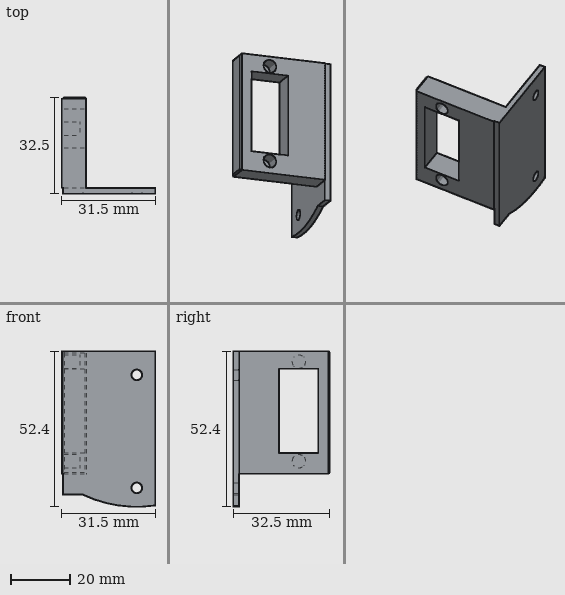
import cadquery as cq
import math

overall_width = 31.5
overall_depth = 32.5
overall_height = 52.4

plate_thickness = 2.0
plate_setback = 0.4
plate_corner_depth = 48.3
plate_hole_diameter = 3.5
plate_hole_x = 25.25
plate_hole_depths = (8.0, 46.0)
lower_arc_radius = 42.3

block_width = 8.2
block_height = 41.25
rear_chamfer = 0.5

window_length = 13.1
window_height = 28.2
window_top_depth = 6.0
window_center_y = 22.0
screw_hole_diameter = 4.5
screw_hole_depth = 6.0
screw_hole_spacing = 33.5
screw_hole_top_depth = 3.45


def box_between(low, high):
    size = [b - a for a, b in zip(low, high)]
    return cq.Workplane("XY").box(*size, centered=False).translate(low)


def make_plate():
    arc_center_z = lower_arc_radius - overall_height
    arc_start_reach = math.sqrt(lower_arc_radius**2 - (arc_center_z + plate_corner_depth) ** 2)
    arc_start_x = plate_hole_x - arc_start_reach
    arc_end_reach = overall_width - plate_hole_x
    arc_end_z = arc_center_z - math.sqrt(lower_arc_radius**2 - arc_end_reach**2)

    plate = (
        cq.Workplane("XZ")
        .moveTo(plate_setback, 0)
        .lineTo(plate_setback, -plate_corner_depth)
        .lineTo(arc_start_x, -plate_corner_depth)
        .threePointArc((plate_hole_x, -overall_height), (overall_width, arc_end_z))
        .lineTo(overall_width, 0)
        .close()
        .extrude(-plate_thickness)
    )
    holes = (
        cq.Workplane("XZ")
        .pushPoints([(plate_hole_x, -depth) for depth in plate_hole_depths])
        .circle(plate_hole_diameter / 2)
        .extrude(-plate_thickness)
    )
    return plate.cut(holes)


def make_block():
    core = box_between(
        (plate_setback, plate_thickness, -block_height),
        (block_width, overall_depth, 0),
    )
    core = core.faces(">Y").chamfer(rear_chamfer)
    skin = box_between(
        (0, plate_thickness, -block_height),
        (plate_setback, overall_depth - rear_chamfer, 0),
    )
    return core.union(skin)


def make_window():
    return box_between(
        (0, window_center_y - window_length / 2, -window_top_depth - window_height),
        (block_width, window_center_y + window_length / 2, -window_top_depth),
    )


def make_screw_holes():
    centers = [
        (window_center_y, -screw_hole_top_depth),
        (window_center_y, -screw_hole_top_depth - screw_hole_spacing),
    ]
    return (
        cq.Workplane("YZ")
        .pushPoints(centers)
        .circle(screw_hole_diameter / 2)
        .extrude(screw_hole_depth)
    )


block = make_block().cut(make_window()).cut(make_screw_holes())
result = make_plate().union(block)